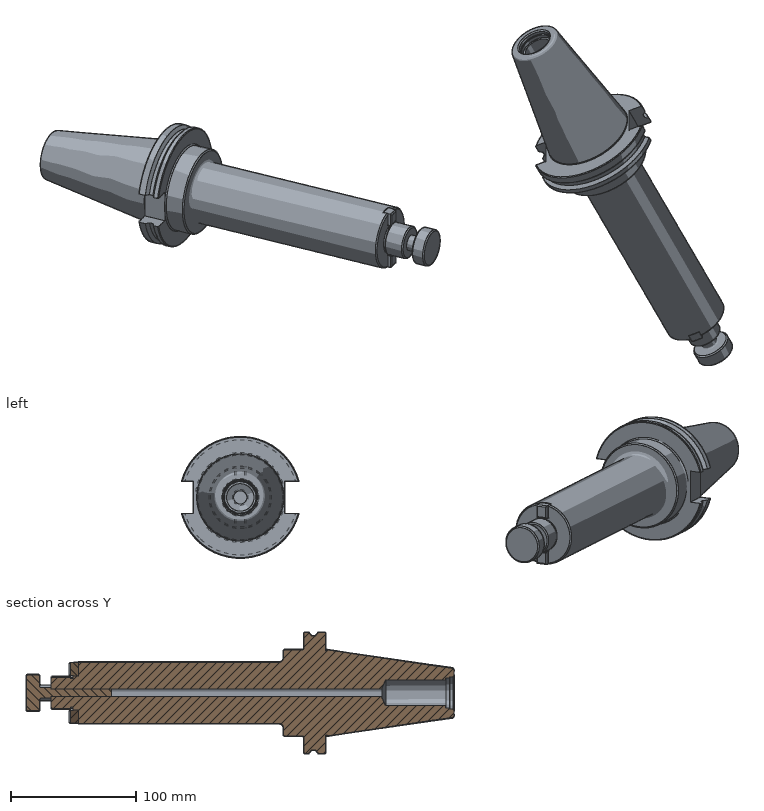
import cadquery as cq
import math

OVERALL_LENGTH = 342.5

TAPER_RATIO = 7 / 24
TAPER_LENGTH = 101.8
GAUGE_DIAMETER = 70.0
TAPER_END_ROUND = 2.0
DRAWBAR_BORE_DIAMETER = 22.0
DRAWBAR_BORE_DEPTH = 54.8
DRAWBAR_BORE_POINT_ANGLE = 120.0
COUNTERBORE_DIAMETER = 26.7
COUNTERBORE_MOUTH_DIAMETER = 28.8
COUNTERBORE_DEPTH = 3.5
INNER_STEP_DIAMETER = 25.5
INNER_STEP_DEPTH = 7.0

FLANGE_DIAMETER = 97.5
FLANGE_START = 102.8
FLANGE_END = 120.5
FLANGE_CHAMFER = 0.7
NECK_DIAMETER = 68.5
GROOVE_CENTER = 112.7
GROOVE_TOP_WIDTH = 7.5
GROOVE_FLOOR_WIDTH = 3.0
GROOVE_DEPTH = 2.7
SLOT_WIDTH = 25.7
FRONT_SLOT_FLOOR = 35.5
BACK_SLOT_FLOOR = 37.7

COLLAR_DIAMETER = 70.0
COLLAR_END = 137.0
COLLAR_CHAMFER = 1.0
COLLAR_FILLET = 1.0
SHANK_DIAMETER = 50.0
SHANK_END = 305.3
SHANK_FILLET = 3.0
SHANK_CHAMFER = 1.0

SPIGOT_DIAMETER = 26.7
SPIGOT_END = 322.7
SPIGOT_CHAMFER = 1.0
UNDERCUT_DIAMETER = 25.0
UNDERCUT_LENGTH = 1.7

KEY_START = 300.8
KEY_END = 308.5
KEY_WIDTH = 9.3
KEY_INNER = 13.7
KEY_OUTER = 24.3
KEY_CHAMFER = 1.0

HEAD_DIAMETER = 30.0
HEAD_START = 331.5
HEAD_CHAMFER = 1.0
SCREW_NECK_DIAMETER = 12.7
SCREW_NECK_FILLET = 1.0
SCREW_CORE_DIAMETER = 10.5
SCREW_CORE_START = 274.0

QUARTER_ARC_SAG = 1 - math.sqrt(0.5)


def revolve_about_x(profile):
    """Revolve a closed list of (x, radius) points about the X axis."""
    return cq.Workplane("XY").polyline(profile).close().revolve(360, (0, 0, 0), (1, 0, 0))


def holder_blank():
    gauge_radius = GAUGE_DIAMETER / 2
    taper_radius = gauge_radius - TAPER_LENGTH * TAPER_RATIO / 2
    neck_radius = NECK_DIAMETER / 2
    flange_radius = FLANGE_DIAMETER / 2
    collar_radius = COLLAR_DIAMETER / 2
    shank_radius = SHANK_DIAMETER / 2
    undercut_radius = UNDERCUT_DIAMETER / 2
    undercut_end = SHANK_END + UNDERCUT_LENGTH
    spigot_radius = SPIGOT_DIAMETER / 2
    end_sag = TAPER_END_ROUND * QUARTER_ARC_SAG
    collar_sag = COLLAR_FILLET * QUARTER_ARC_SAG
    shank_sag = SHANK_FILLET * QUARTER_ARC_SAG
    return (
        cq.Workplane("XY")
        .moveTo(0, 0)
        .lineTo(0, taper_radius - TAPER_END_ROUND)
        .threePointArc(
            (end_sag, taper_radius - end_sag),
            (TAPER_END_ROUND, taper_radius + TAPER_END_ROUND * TAPER_RATIO / 2),
        )
        .lineTo(TAPER_LENGTH, gauge_radius)
        .lineTo(TAPER_LENGTH, neck_radius)
        .lineTo(FLANGE_START, neck_radius)
        .lineTo(FLANGE_START, flange_radius - FLANGE_CHAMFER)
        .lineTo(FLANGE_START + FLANGE_CHAMFER, flange_radius)
        .lineTo(FLANGE_END - FLANGE_CHAMFER, flange_radius)
        .lineTo(FLANGE_END, flange_radius - FLANGE_CHAMFER)
        .lineTo(FLANGE_END, collar_radius + COLLAR_FILLET)
        .threePointArc(
            (FLANGE_END + collar_sag, collar_radius + collar_sag),
            (FLANGE_END + COLLAR_FILLET, collar_radius),
        )
        .lineTo(COLLAR_END - COLLAR_CHAMFER, collar_radius)
        .lineTo(COLLAR_END, collar_radius - COLLAR_CHAMFER)
        .lineTo(COLLAR_END, shank_radius + SHANK_FILLET)
        .threePointArc(
            (COLLAR_END + shank_sag, shank_radius + shank_sag),
            (COLLAR_END + SHANK_FILLET, shank_radius),
        )
        .lineTo(SHANK_END - SHANK_CHAMFER, shank_radius)
        .lineTo(SHANK_END, shank_radius - SHANK_CHAMFER)
        .lineTo(SHANK_END, undercut_radius)
        .lineTo(undercut_end, undercut_radius)
        .lineTo(undercut_end, spigot_radius)
        .lineTo(SPIGOT_END - SPIGOT_CHAMFER, spigot_radius)
        .lineTo(SPIGOT_END, spigot_radius - SPIGOT_CHAMFER)
        .lineTo(SPIGOT_END, 0)
        .close()
        .revolve(360, (0, 0, 0), (1, 0, 0))
    )


def flange_groove():
    """V-shaped ring with a flat floor, cut into the flange rim."""
    rim = FLANGE_DIAMETER / 2
    floor = rim - GROOVE_DEPTH
    return revolve_about_x([
        (GROOVE_CENTER - GROOVE_TOP_WIDTH / 2, rim),
        (GROOVE_CENTER - GROOVE_FLOOR_WIDTH / 2, floor),
        (GROOVE_CENTER + GROOVE_FLOOR_WIDTH / 2, floor),
        (GROOVE_CENTER + GROOVE_TOP_WIDTH / 2, rim),
    ])


def flange_slot(side, floor):
    """Drive slot across the flange on the side (+1 or -1) of Y, its floor at the given distance."""
    depth = FLANGE_DIAMETER / 2 - floor
    length = FLANGE_END - FLANGE_START
    center = ((FLANGE_START + FLANGE_END) / 2, side * (floor + depth / 2), 0)
    return cq.Workplane("XY").box(length, depth, SLOT_WIDTH).translate(center)


def axial_bore():
    """Stepped bore through the holder: draw-bar end first, screw hole at the spigot."""
    mouth_radius = COUNTERBORE_MOUTH_DIAMETER / 2
    counterbore_radius = COUNTERBORE_DIAMETER / 2
    step_radius = INNER_STEP_DIAMETER / 2
    bore_radius = DRAWBAR_BORE_DIAMETER / 2
    hole_radius = SCREW_CORE_DIAMETER / 2
    point_length = (bore_radius - hole_radius) / math.tan(math.radians(DRAWBAR_BORE_POINT_ANGLE / 2))
    return revolve_about_x([
        (0, 0),
        (0, mouth_radius),
        (mouth_radius - counterbore_radius, counterbore_radius),
        (COUNTERBORE_DEPTH, counterbore_radius),
        (COUNTERBORE_DEPTH + counterbore_radius - step_radius, step_radius),
        (INNER_STEP_DEPTH, step_radius),
        (INNER_STEP_DEPTH, bore_radius),
        (DRAWBAR_BORE_DEPTH, bore_radius),
        (DRAWBAR_BORE_DEPTH + point_length, hole_radius),
        (SPIGOT_END, hole_radius),
        (SPIGOT_END, 0),
    ])


def key_block(side):
    """Plain key block on the side (+1 or -1) of Z."""
    center = ((KEY_START + KEY_END) / 2, 0, side * (KEY_INNER + KEY_OUTER) / 2)
    return cq.Workplane("XY").box(KEY_END - KEY_START, KEY_WIDTH, KEY_OUTER - KEY_INNER).translate(center)


def build_key(side):
    """Drive key, chamfered around its projecting end."""
    return key_block(side).faces(">X").chamfer(KEY_CHAMFER)


def key_seat(side):
    """Pocket for a key, open to the outside of the shank."""
    height = SHANK_DIAMETER / 2 - KEY_INNER
    center = ((KEY_START + SHANK_END) / 2, 0, side * (KEY_INNER + height / 2))
    return cq.Workplane("XY").box(SHANK_END - KEY_START, KEY_WIDTH, height).translate(center)


def build_holder():
    holder = holder_blank().cut(axial_bore()).cut(flange_groove())
    holder = holder.cut(flange_slot(-1, FRONT_SLOT_FLOOR)).cut(flange_slot(1, BACK_SLOT_FLOOR))
    for side in (1, -1):
        holder = holder.cut(key_seat(side))
    return holder


def build_screw():
    core_radius = SCREW_CORE_DIAMETER / 2
    neck_radius = SCREW_NECK_DIAMETER / 2
    head_radius = HEAD_DIAMETER / 2
    fillet_start = HEAD_START - SCREW_NECK_FILLET
    fillet_sag = SCREW_NECK_FILLET * QUARTER_ARC_SAG
    return (
        cq.Workplane("XY")
        .moveTo(SCREW_CORE_START, 0)
        .lineTo(SCREW_CORE_START, core_radius)
        .lineTo(SPIGOT_END, core_radius)
        .lineTo(SPIGOT_END, neck_radius)
        .lineTo(fillet_start, neck_radius)
        .threePointArc(
            (HEAD_START - fillet_sag, neck_radius + fillet_sag),
            (HEAD_START, neck_radius + SCREW_NECK_FILLET),
        )
        .lineTo(HEAD_START, head_radius - HEAD_CHAMFER)
        .lineTo(HEAD_START + HEAD_CHAMFER, head_radius)
        .lineTo(OVERALL_LENGTH - HEAD_CHAMFER, head_radius)
        .lineTo(OVERALL_LENGTH, head_radius - HEAD_CHAMFER)
        .lineTo(OVERALL_LENGTH, 0)
        .close()
        .revolve(360, (0, 0, 0), (1, 0, 0))
    )


holder = build_holder()
keys = [build_key(side) for side in (1, -1)]
screw = build_screw()

result = cq.Compound.makeCompound([holder.val(), *[key.val() for key in keys], screw.val()])